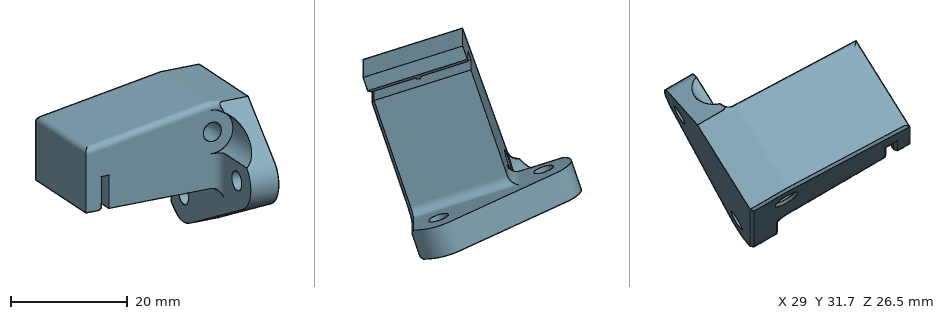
import math

import cadquery as cq


height = 26.5
arm_width = 18.0
arm_length = 31.71
arm_bottom = 10.9
plate_thickness = 5.5
left_chamfer = 0.5

ear_radius = 5.0
ear_hole_diameter = 3.5
low_ear = (ear_radius, ear_radius)
right_ear = (24.0, 14.0)
left_side_bottom = 2.6
plate_width = right_ear[0] + ear_radius

slope_start = 7.5
slope_drop = 4.0
bend_radius = 6.0
top_round_radius = 1.15
root_fillet_radius = 1.75

cross_y = -7.0
cross_z = height - 5.25
cross_hole_diameter = 3.5
relief_radius = 4.0

slot_rear = -27.2
slot_width = 1.5
slot_front = slot_rear - slot_width
slot_top = 17.05

ridge_radius = 0.45
ridge_x = arm_width / 2
lead_in_height = 0.63

arm_front = -arm_length
slope_front_z = height - slope_drop
slope_angle = math.atan2(slope_drop, arm_length - slope_start)


def tangent_point(point, center, radius, side):
    """Where a line from a point touches a circle; side is +1 or -1."""
    dx = point[0] - center[0]
    dy = point[1] - center[1]
    angle = math.atan2(dy, dx) + side * math.acos(radius / math.hypot(dx, dy))
    return on_circle(center, radius, angle)


def on_circle(center, radius, angle):
    return (center[0] + radius * math.cos(angle), center[1] + radius * math.sin(angle))


def angle_about(center, point):
    return math.atan2(point[1] - center[1], point[0] - center[0])


def side_prism():
    """Arm and plate profile in YZ, with a rounded bend on top and a fillet under the arm."""
    bend_reach = bend_radius * math.tan(slope_angle / 2)
    bend_end = (
        -slope_start - bend_reach * math.cos(slope_angle),
        height - bend_reach * math.sin(slope_angle),
    )
    return (
        cq.Workplane("YZ")
        .moveTo(0, 0)
        .lineTo(0, height)
        .lineTo(-slope_start + bend_reach, height)
        .tangentArcPoint(bend_end, relative=False)
        .lineTo(arm_front, slope_front_z)
        .lineTo(arm_front, arm_bottom)
        .lineTo(-plate_thickness - root_fillet_radius, arm_bottom)
        .radiusArc((-plate_thickness, arm_bottom - root_fillet_radius), root_fillet_radius)
        .lineTo(-plate_thickness, 0)
        .close()
        .extrude(plate_width)
    )


def plan_prism():
    """Arm and plate profile in XY, with a fillet between the arm side and the plate."""
    return (
        cq.Workplane("XY")
        .moveTo(0, 0)
        .lineTo(plate_width, 0)
        .lineTo(plate_width, -plate_thickness)
        .lineTo(arm_width + root_fillet_radius, -plate_thickness)
        .radiusArc((arm_width, -plate_thickness - root_fillet_radius), -root_fillet_radius)
        .lineTo(arm_width, arm_front)
        .lineTo(0, arm_front)
        .close()
        .extrude(height)
    )


def front_prism():
    """Outline in XZ: straight sides tangent to the two rounded ears."""
    top_corner = (arm_width, height)
    left_corner = (0, left_side_bottom)
    right_start = tangent_point(top_corner, right_ear, ear_radius, -1)
    left_end = tangent_point(left_corner, low_ear, ear_radius, 1)
    bottom_normal = angle_about(low_ear, right_ear) - math.pi / 2
    right_end = on_circle(right_ear, ear_radius, bottom_normal)
    low_start = on_circle(low_ear, ear_radius, bottom_normal)
    right_middle = (right_ear[0] + ear_radius, right_ear[1])
    low_middle = (low_ear[0], low_ear[1] - ear_radius)
    return (
        cq.Workplane("XZ")
        .moveTo(0, height)
        .lineTo(*top_corner)
        .lineTo(*right_start)
        .threePointArc(right_middle, right_end)
        .lineTo(*low_start)
        .threePointArc(low_middle, left_end)
        .lineTo(*left_corner)
        .close()
        .extrude(arm_length)
    )


def round_top_side_edge(body):
    """Round the top edge along the right side of the arm and around the root fillet."""
    margin = 0.1
    side_edges = cq.selectors.BoxSelector(
        (arm_width - margin, arm_front, slope_front_z),
        (arm_width + root_fillet_radius, -plate_thickness - margin, height + margin),
    )
    return body.edges(side_edges).edges("not |Z").edges("not |X").fillet(top_round_radius)


def cylinder_along_x(radius, x_start, x_end):
    """Cylinder on the axis of the cross hole."""
    return (
        cq.Workplane("YZ", origin=(x_start, cross_y, cross_z))
        .circle(radius)
        .extrude(x_end - x_start)
    )


def ear_holes():
    return (
        cq.Workplane("XZ")
        .pushPoints([low_ear, right_ear])
        .circle(ear_hole_diameter / 2)
        .extrude(plate_thickness)
    )


def slot():
    """Slot cut across the arm, less the ridge left standing on its front wall."""
    slot_height = slot_top - arm_bottom
    opening = cq.Workplane("XY").box(arm_width, slot_width, slot_height, centered=False)
    ridge = cq.Workplane("XY").center(ridge_x, 0).circle(ridge_radius).extrude(slot_height)
    return opening.cut(ridge).translate((0, slot_front, arm_bottom))


def slot_lead_in():
    """Sloping mouth at the foot of the slot's front wall and ridge."""
    ridge_tip = slot_front + ridge_radius
    return (
        cq.Workplane("YZ")
        .moveTo(slot_front - left_chamfer, arm_bottom)
        .lineTo(ridge_tip, arm_bottom + lead_in_height)
        .lineTo(ridge_tip, arm_bottom)
        .close()
        .extrude(arm_width)
    )


def chamfer_left_face(body):
    """Chamfer the left face, hole and slot, but not the arm front end or the plate foot."""
    margin = 0.01
    front_end = cq.selectors.BoxSelector(
        (-margin, arm_front - margin, arm_bottom - margin),
        (margin, slot_front - left_chamfer, slope_front_z - margin),
    )
    plate_foot = cq.selectors.BoxSelector(
        (-margin, -plate_thickness, left_side_bottom - margin),
        (margin, margin, left_side_bottom + margin),
    )
    left_edges = body.faces("<X").edges()
    sharp_edges = left_edges.edges(front_end).vals() + left_edges.edges(plate_foot).vals()
    chamfered = [
        edge
        for edge in left_edges.vals()
        if not any(edge.isSame(sharp) for sharp in sharp_edges)
    ]
    return left_edges.newObject(chamfered).chamfer(left_chamfer)


def round_front_edge(body):
    """Round the arm's top front edge by trimming everything ahead of the rounding."""
    corner_angle = math.pi / 2 - slope_angle
    reach = top_round_radius * math.tan(corner_angle / 2)
    round_start = (
        arm_front + reach * math.cos(slope_angle),
        slope_front_z + reach * math.sin(slope_angle),
    )
    round_end = (arm_front, slope_front_z - reach)
    trim = (
        cq.Workplane("YZ")
        .moveTo(*round_start)
        .radiusArc(round_end, -top_round_radius)
        .lineTo(arm_front, slope_front_z)
        .close()
        .extrude(arm_width)
    )
    return body.cut(trim)


body = side_prism().intersect(plan_prism())
body = round_top_side_edge(body)
body = body.intersect(front_prism())
body = body.cut(cylinder_along_x(cross_hole_diameter / 2, 0, arm_width))
body = body.cut(cylinder_along_x(relief_radius, arm_width, plate_width))
body = body.cut(ear_holes())
body = body.cut(slot())
body = chamfer_left_face(body)
body = body.cut(slot_lead_in())
result = round_front_edge(body)